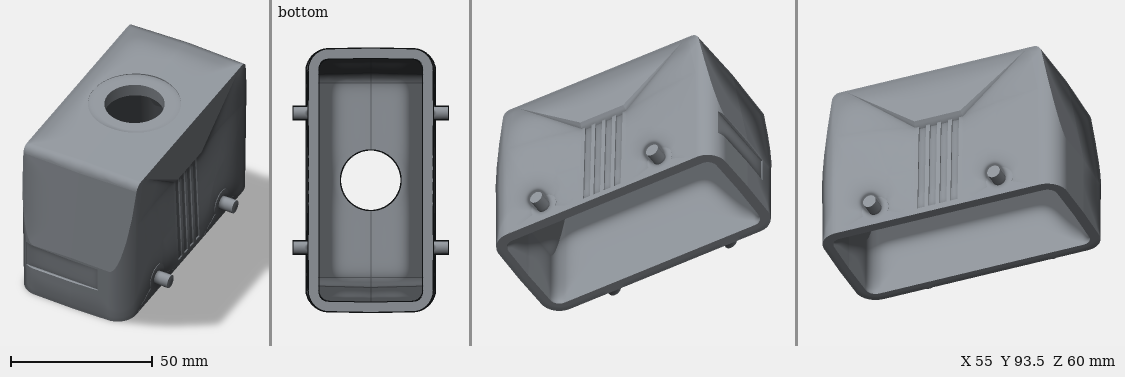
import cadquery as cq

HALF_LENGTH = 46.75
HEIGHT = 60.0
BASE_HALF_WIDTH = 22.1
TOP_HALF_WIDTH = 22.9
CORNER_RADIUS = 7.5
ROOF_PITCH = 1.5
END_PITCH = 1.1
KNEE_Z = 22.8
SHOULDER_HALF_LENGTH = 40.1
SHOULDER_RADIUS = 3.6
MARGIN = 9.35

WALL = 3.7
ROOF_THICKNESS = 5.2

ENTRY_RADIUS = 10.7
SPOTFACE_RADIUS = 16.5
SPOTFACE_Z = 59.5

PIN_Y = 23.75
PIN_Z = 6.3
PIN_RADIUS = 2.4
PIN_TIP_X = 27.5
PIN_PAD_RADIUS = 5.05
PIN_ROOT_DEPTH = 1.9

LABEL_LEFT_X = -18.5
LABEL_RIGHT_X = 10.7
LABEL_LEFT_FLOOR_Y = -45.3
LABEL_RIGHT_FLOOR_Y = -46.0
LABEL_LEFT_Z = (11.6, 22.1)
LABEL_RIGHT_Z = (12.0, 21.5)

GROOVE_COUNT = 4
GROOVE_WIDTH = 2.7
GROOVE_PITCH = 4.2
GROOVE_DEPTH = 0.6
GROOVE_BOTTOM_Z = 2.3

GRIP_HALF_WIDTH = 9.2
GRIP_TOP_Z = 38.2
GRIP_TOP_DEPTH = 2.0
BROW_LOWER_Y = 8.8
BROW_LOWER_Z = 39.9
BROW_LOWER_DEPTH = 0.5
BROW_UPPER_Y = 33.85
BROW_UPPER_Z = 58.4
RIM_Y = 38.7
PAD_OUTER_Y = 25.9
RIM_SLOPE = 0.015


def side_x(z):
    """Half width of the plain, slightly flared long side at height z."""
    return BASE_HALF_WIDTH + (TOP_HALF_WIDTH - BASE_HALF_WIDTH) * z / HEIGHT


def pitched(profile, angle):
    """Extrude a YZ profile to both sides of x = 0, shrinking it by the pitch angle."""
    half = profile.extrude(TOP_HALF_WIDTH + MARGIN, taper=angle)
    return half.union(half.mirror("YZ"))


def hood_body(inset, roof_inset):
    """Outer hood for zero insets, or a smaller copy of it for the cavity."""
    half_length = HALF_LENGTH - inset
    top = HEIGHT - roof_inset
    lean = (HALF_LENGTH - SHOULDER_HALF_LENGTH) / (HEIGHT - KNEE_Z)
    upper_y = half_length - lean * (top - KNEE_Z)
    lower_y = half_length + lean * (KNEE_Z + MARGIN)

    flared = (
        cq.Workplane("XZ")
        .polyline([
            (side_x(0) - inset, 0),
            (side_x(HEIGHT + MARGIN) - inset, HEIGHT + MARGIN),
            (inset - side_x(HEIGHT + MARGIN), HEIGHT + MARGIN),
            (inset - side_x(0), 0),
        ])
        .close()
        .extrude(HALF_LENGTH + MARGIN, both=True)
    )
    ends = pitched(cq.Workplane("YZ").rect(2 * half_length, 4 * HEIGHT), END_PITCH)
    block = flared.intersect(ends)
    block = block.edges("not #Z").edges("<X or >X").fillet(CORNER_RADIUS - inset)

    outline = (
        cq.Sketch()
        .polygon([(-lower_y, -MARGIN), (lower_y, -MARGIN), (upper_y, top), (-upper_y, top),
                  (-lower_y, -MARGIN)])
        .vertices(">Y")
        .fillet(SHOULDER_RADIUS)
    )
    return block.intersect(pitched(cq.Workplane("YZ").placeSketch(outline), ROOF_PITCH))


def on_side(y, z, depth=0.0):
    """Point on the +X side, sunk below the plain surface by depth."""
    return cq.Vector(side_x(z) - depth, y, z)


def between(start, end, fraction):
    """Point part of the way from start to end."""
    return start + (end - start) * fraction


def face_through(points):
    return cq.Face.makeFromWires(cq.Wire.makePolygon(points, close=True))


def line(start, end):
    return cq.Edge.makeLine(start, end)


def arc(start, middle, end):
    return cq.Edge.makeThreePointArc(start, middle, end)


def mirrored_y(points):
    return [cq.Vector(p.x, -p.y, p.z) for p in points]


def side_relief():
    """Faceted body that is cut out of the +X side."""
    rim_bottom = on_side(RIM_Y, 0)
    rim_waist = on_side(RIM_Y, 40.95)
    rim_upper = on_side(37.2, 50.3)
    rim_shoulder = on_side(36.1, 57.2)
    rim_round = on_side(35.4, 58.2)
    brow_upper = on_side(BROW_UPPER_Y, BROW_UPPER_Z)

    brow_lower = on_side(BROW_LOWER_Y, BROW_LOWER_Z, BROW_LOWER_DEPTH)
    grip_top = on_side(GRIP_HALF_WIDTH, GRIP_TOP_Z, GRIP_TOP_DEPTH)
    grip_bottom = on_side(GRIP_HALF_WIDTH, 0)
    grip_middle = between(grip_bottom, grip_top, 0.52)
    brow_foot = between(grip_top, brow_upper, 0.08)
    brow_middle = between(grip_top, brow_upper, 0.53)

    pad_outer = on_side(PAD_OUTER_Y, 11.0, (RIM_Y - PAD_OUTER_Y) * RIM_SLOPE)
    pad_centre = on_side(PIN_Y, PIN_Z, (RIM_Y - PIN_Y) * RIM_SLOPE)
    rim_flank = between(rim_waist, pad_outer, 0.51)

    upper_crease = on_side(27.1, 46.5, 0.7)
    waist_crease = on_side(23.75, 40.3, 1.0)
    lower_crease = on_side(18.9, 19.6, 0.51)
    pad_inner = on_side(19.5, 9.9, 0.2)
    foot = on_side(13.8, 2.1, 0.1)
    flank_arc = arc(rim_flank, on_side(25.4, 24.3, 0.33), lower_crease)
    foot_arc = arc(lower_crease, on_side(15.2, 11.7, 0.33), foot)

    flat_facets = [
        [rim_bottom, rim_waist, rim_flank, pad_outer, pad_centre],
        [pad_centre, pad_outer, pad_inner],
        [rim_shoulder, rim_round, brow_middle],
        [rim_round, brow_upper, brow_middle],
        [brow_upper, brow_lower, brow_middle],
        [brow_middle, brow_lower, brow_foot],
        [brow_foot, brow_lower, grip_top],
        [waist_crease, brow_foot, grip_top],
    ]
    twisted_facets = [
        (line(rim_waist, waist_crease), flank_arc),
        (flank_arc, line(pad_outer, pad_inner)),
        (foot_arc, line(pad_inner, pad_centre)),
        (foot_arc, line(grip_middle, grip_bottom)),
        (line(waist_crease, grip_top), line(lower_crease, grip_middle)),
        (line(rim_waist, rim_upper), line(waist_crease, upper_crease)),
        (line(waist_crease, upper_crease), line(brow_foot, brow_middle)),
        (line(rim_upper, rim_shoulder), line(upper_crease, brow_middle)),
    ]
    grip_edge = [grip_bottom, grip_middle, grip_top]
    middle = [
        grip_edge + mirrored_y(grip_edge)[::-1],
        [grip_top, brow_lower] + mirrored_y([brow_lower, grip_top]),
        [brow_lower, brow_upper] + mirrored_y([brow_upper, brow_lower]),
    ]
    half_border = [grip_bottom, foot, pad_centre, rim_bottom, rim_waist, rim_upper,
                   rim_shoulder, rim_round, brow_upper]
    border = half_border + mirrored_y(half_border)[::-1]

    lid = [cq.Vector(TOP_HALF_WIDTH + MARGIN, p.y, p.z) for p in border]
    faces = [face_through(points) for points in middle]
    for facet in flat_facets:
        faces.append(face_through(facet))
        faces.append(face_through(mirrored_y(facet)))
    for first_edge, second_edge in twisted_facets:
        facet = cq.Face.makeRuledSurface(first_edge, second_edge)
        faces.append(facet)
        faces.append(facet.mirror("XZ"))
    for i in range(len(border)):
        faces.append(face_through([border[i - 1], border[i], lid[i], lid[i - 1]]))
    faces.append(face_through(lid))
    return cq.Workplane(cq.Solid.makeSolid(cq.Shell.makeShell(faces)))


def grip_grooves():
    """Grooves parallel to the sunken grip face of the +X side."""
    grip_top_x = side_x(GRIP_TOP_Z) - GRIP_TOP_DEPTH
    grip_slope = (grip_top_x - side_x(0)) / GRIP_TOP_Z
    floor_base_x = side_x(0) - GROOVE_DEPTH

    brow_x = side_x(BROW_LOWER_Z) - BROW_LOWER_DEPTH
    brow_slope = (brow_x - grip_top_x) / (BROW_LOWER_Z - GRIP_TOP_Z)
    top_z = GRIP_TOP_Z - GROOVE_DEPTH / (brow_slope - grip_slope)
    section = (
        cq.Workplane("XZ")
        .polyline([
            (floor_base_x + grip_slope * GROOVE_BOTTOM_Z, GROOVE_BOTTOM_Z),
            (side_x(0) + GROOVE_DEPTH, GROOVE_BOTTOM_Z),
            (grip_top_x, GRIP_TOP_Z),
            (floor_base_x + grip_slope * top_z, top_z),
        ])
        .close()
        .extrude(GROOVE_WIDTH / 2, both=True)
    )
    first_y = -(GROOVE_COUNT - 1) / 2 * GROOVE_PITCH
    grooves = cq.Workplane()
    for i in range(GROOVE_COUNT):
        grooves.add(section.translate((0, first_y + i * GROOVE_PITCH, 0)))
    return grooves.combine()


def pin_rods(radius, start_x, end_x):
    """Rods along X at the two pin positions of the +X side."""
    return (
        cq.Workplane("YZ", origin=(start_x, 0, 0))
        .pushPoints([(-PIN_Y, PIN_Z), (PIN_Y, PIN_Z)])
        .circle(radius)
        .extrude(end_x - start_x)
    )


def label_recess():
    """Recess with a slanted floor, open to the left through the rounded corner."""
    outside_y = -HALF_LENGTH - MARGIN
    plan = (
        cq.Workplane("XY")
        .polyline([
            (LABEL_LEFT_X, LABEL_LEFT_FLOOR_Y),
            (LABEL_RIGHT_X, LABEL_RIGHT_FLOOR_Y),
            (LABEL_RIGHT_X, outside_y),
            (LABEL_LEFT_X, outside_y),
        ])
        .close()
        .extrude(HEIGHT)
    )
    window = (
        cq.Workplane("XZ")
        .polyline([
            (LABEL_LEFT_X, LABEL_LEFT_Z[0]),
            (LABEL_RIGHT_X, LABEL_RIGHT_Z[0]),
            (LABEL_RIGHT_X, LABEL_RIGHT_Z[1]),
            (LABEL_LEFT_X, LABEL_LEFT_Z[1]),
        ])
        .close()
        .extrude(HALF_LENGTH + MARGIN)
    )
    return plan.intersect(window)


def cable_entry():
    """Through hole in the roof with a flat spotface around it."""
    spotface = cq.Workplane("XY", origin=(0, 0, SPOTFACE_Z)).circle(SPOTFACE_RADIUS).extrude(MARGIN)
    hole = cq.Workplane("XY", origin=(0, 0, HEIGHT / 2)).circle(ENTRY_RADIUS).extrude(HEIGHT)
    return spotface.union(hole)


outer = hood_body(0, 0)
cavity = hood_body(WALL, ROOF_THICKNESS)

root_x = BASE_HALF_WIDTH - PIN_ROOT_DEPTH
pads = pin_rods(PIN_PAD_RADIUS, root_x, PIN_TIP_X).intersect(outer)
pins = pin_rods(PIN_RADIUS, root_x, PIN_TIP_X)
side_cuts = [side_relief(), grip_grooves()]
side_additions = [pads, pins]

result = outer.cut(cavity)
for cut in side_cuts:
    result = result.cut(cut).cut(cut.mirror("YZ"))
for addition in side_additions:
    result = result.union(addition).union(addition.mirror("YZ"))
result = result.cut(label_recess()).cut(cable_entry()).solids()